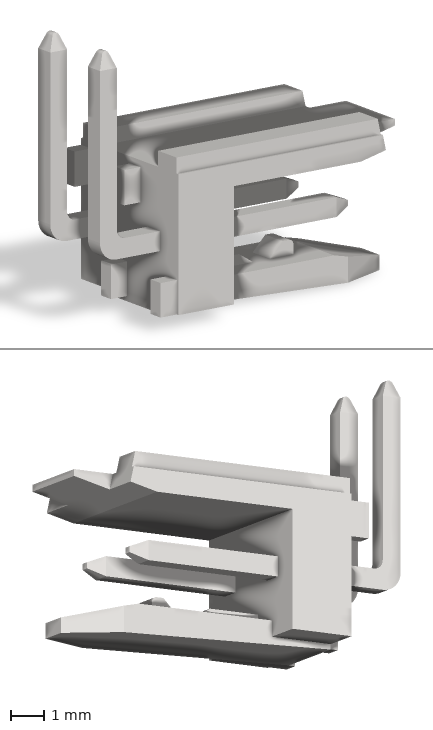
import cadquery as cq
import math


housing_width = 5.0
wall_thickness = 2.03
channel_floor_z = 4.36
upper_arm_bottom_z = 3.67

rail_top_z = 4.86
rail_outer_x = 2.39
rail_inner_x = 1.46
shoulder_top_y = 7.4
shoulder_slope = 0.23

arm_width = 2.5
arm_end_y = 8.85
tongue_tip_z = 4.15
tongue_taper_start_y = 6.71

lower_arm_top_z = 0.5
lower_arm_rear_z = -0.17
lower_arm_front_z = -0.5
lower_arm_tip_top_z = -0.02
lower_arm_taper_start_y = 6.62
nose_start_y = 7.14
nose_tip_width = 0.93

ridge_width = 0.88
ridge_top_z = 0.83
ridge_top_end_y = 3.7
ridge_end_y = 4.22
bump_top_z = 0.97
bump_rear_y = 4.84
bump_top_rear_y = 5.3
bump_front_y = 5.7
bump_radius = 0.17

pitch = 2.54
pin_middle_x = -0.04
pin_size = 0.62
pin_bottom_z = 1.77
pin_rear_y = -2.2
pin_front_y = 7.05
pin_top_z = 8.24
inner_bend_radius = 0.3
outer_bend_radius = 0.61
point_length = 0.55
point_flat_height = 0.19
tip_width = 0.27
tip_radius = 0.13
tip_side_angle = 22.3

pad_width = 0.51
pad_depth = 0.6
upper_pad_bottom_z = 3.06
upper_pad_top_z = 4.15
lower_pad_height = 1.07


def box(x_min, x_max, y_min, y_max, z_min, z_max):
    """Axis-aligned box between the given limits."""
    size = (x_max - x_min, y_max - y_min, z_max - z_min)
    return cq.Workplane("XY").box(*size, centered=False).translate((x_min, y_min, z_min))


def side_prism(points, width):
    """Closed (Y, Z) outline extruded along X, centred on X = 0."""
    return cq.Workplane("YZ").polyline(points).close().extrude(width / 2, both=True)


def upper_arm():
    """Full-width arm with a slanted shoulder, two top rails and a narrower tongue."""
    tongue_outline = [
        (0, channel_floor_z),
        (arm_end_y, channel_floor_z),
        (arm_end_y, tongue_tip_z),
        (tongue_taper_start_y, upper_arm_bottom_z),
        (0, upper_arm_bottom_z),
    ]
    shoulder_bottom_y = shoulder_top_y + shoulder_slope * (rail_top_z - upper_arm_bottom_z)
    shoulder_outline = [
        (0, upper_arm_bottom_z),
        (shoulder_bottom_y, upper_arm_bottom_z),
        (shoulder_top_y, rail_top_z),
        (0, rail_top_z),
    ]
    shoulder = side_prism(shoulder_outline, housing_width)
    arm = side_prism(tongue_outline, housing_width).intersect(shoulder)
    arm = arm.union(side_prism(tongue_outline, arm_width))
    for x_min, x_max in ((-rail_outer_x, -rail_inner_x), (rail_inner_x, rail_outer_x)):
        rail = box(x_min, x_max, 0, arm_end_y, channel_floor_z, rail_top_z)
        arm = arm.union(rail.intersect(shoulder))
    return arm


def wall():
    """Rear wall that joins both arms and carries the pins."""
    return box(-housing_width / 2, housing_width / 2, 0, wall_thickness, 0, channel_floor_z)


def lower_arm():
    """Arm with a sloping underside and a nose narrowing to its tip."""
    profile = side_prism(
        [
            (0, lower_arm_rear_z),
            (arm_end_y, lower_arm_front_z),
            (arm_end_y, lower_arm_tip_top_z),
            (lower_arm_taper_start_y, lower_arm_top_z),
            (0, lower_arm_top_z),
        ],
        arm_width,
    )
    half_width = arm_width / 2
    half_tip = nose_tip_width / 2
    plan = (
        cq.Workplane("XY", origin=(0, 0, lower_arm_front_z))
        .polyline([
            (-half_width, 0),
            (half_width, 0),
            (half_width, nose_start_y),
            (half_tip, arm_end_y),
            (-half_tip, arm_end_y),
            (-half_width, nose_start_y),
        ])
        .close()
        .extrude(lower_arm_top_z - lower_arm_front_z)
    )
    return profile.intersect(plan)


def ridge():
    """Ramped ridge on the lower arm, starting inside the wall."""
    return side_prism(
        [
            (0, lower_arm_top_z),
            (ridge_end_y, lower_arm_top_z),
            (ridge_top_end_y, ridge_top_z),
            (0, ridge_top_z),
        ],
        ridge_width,
    )


def latch_bump():
    """Latch bump on the lower arm, steep in front and ramped behind."""
    bump = side_prism(
        [
            (bump_rear_y, lower_arm_top_z),
            (bump_front_y, lower_arm_top_z),
            (bump_front_y, bump_top_z),
            (bump_top_rear_y, bump_top_z),
        ],
        ridge_width,
    )
    return bump.faces(">Y").edges(">Z").fillet(bump_radius)


def horizontal_point(pin_x):
    """Flat-ended pyramid at the mating end of a pin."""
    middle_z = pin_bottom_z + pin_size / 2
    return (
        cq.Workplane("XZ", origin=(pin_x, pin_front_y - point_length, middle_z))
        .rect(pin_size, pin_size)
        .workplane(offset=-point_length)
        .rect(tip_width, point_flat_height)
        .loft(ruled=True)
    )


def solder_tip(pin_x):
    """Tapered end of the upright leg, rounded over along X."""
    lean = math.radians(tip_side_angle)
    round_half_depth = tip_radius * math.cos(lean)
    round_start_z = pin_top_z - tip_radius * (1 - math.sin(lean))
    base_half = pin_size / 2
    base_z = round_start_z - (base_half - round_half_depth) / math.tan(lean)
    middle_y = pin_rear_y + base_half
    side = (
        cq.Workplane("YZ", origin=(pin_x, middle_y, 0))
        .moveTo(-base_half, base_z)
        .lineTo(base_half, base_z)
        .lineTo(round_half_depth, round_start_z)
        .threePointArc((0, pin_top_z), (-round_half_depth, round_start_z))
        .close()
        .extrude(base_half, both=True)
    )
    front = (
        cq.Workplane("XZ", origin=(pin_x, middle_y, 0))
        .polyline([
            (-base_half, base_z),
            (base_half, base_z),
            (tip_width / 2, pin_top_z),
            (-tip_width / 2, pin_top_z),
        ])
        .close()
        .extrude(base_half, both=True)
    )
    return side.intersect(front), base_z


def pin(pin_x):
    """Square pin bent upwards behind the housing, pointed at both ends."""
    tip, leg_top_z = solder_tip(pin_x)
    shank_end_y = pin_front_y - point_length
    leg_front_y = pin_rear_y + pin_size
    pin_upper_z = pin_bottom_z + pin_size
    bent_bar = (
        cq.Workplane("YZ", origin=(pin_x, 0, 0))
        .moveTo(shank_end_y, pin_bottom_z)
        .lineTo(pin_rear_y + outer_bend_radius, pin_bottom_z)
        .radiusArc((pin_rear_y, pin_bottom_z + outer_bend_radius), outer_bend_radius)
        .lineTo(pin_rear_y, leg_top_z)
        .lineTo(leg_front_y, leg_top_z)
        .lineTo(leg_front_y, pin_upper_z + inner_bend_radius)
        .radiusArc((leg_front_y + inner_bend_radius, pin_upper_z), -inner_bend_radius)
        .lineTo(shank_end_y, pin_upper_z)
        .close()
        .extrude(pin_size / 2, both=True)
    )
    return bent_bar.union(tip).union(horizontal_point(pin_x))


def pads():
    """Upper and lower pad pairs; the lower pair mirrors the upper about the pin middle."""
    first_x = -housing_width / 2
    parts = cq.Workplane("XY")
    for upper_x in (first_x, first_x + pitch):
        lower_x = 2 * pin_middle_x - upper_x - pad_width
        parts = parts.union(
            box(upper_x, upper_x + pad_width, -pad_depth, 0, upper_pad_bottom_z, upper_pad_top_z)
        )
        parts = parts.union(box(lower_x, lower_x + pad_width, -pad_depth, 0, 0, lower_pad_height))
    return parts


result = wall().union(upper_arm()).union(lower_arm()).union(ridge()).union(latch_bump())
result = result.union(pads())
for side in (-1, 1):
    result = result.union(pin(pin_middle_x + side * pitch / 2))